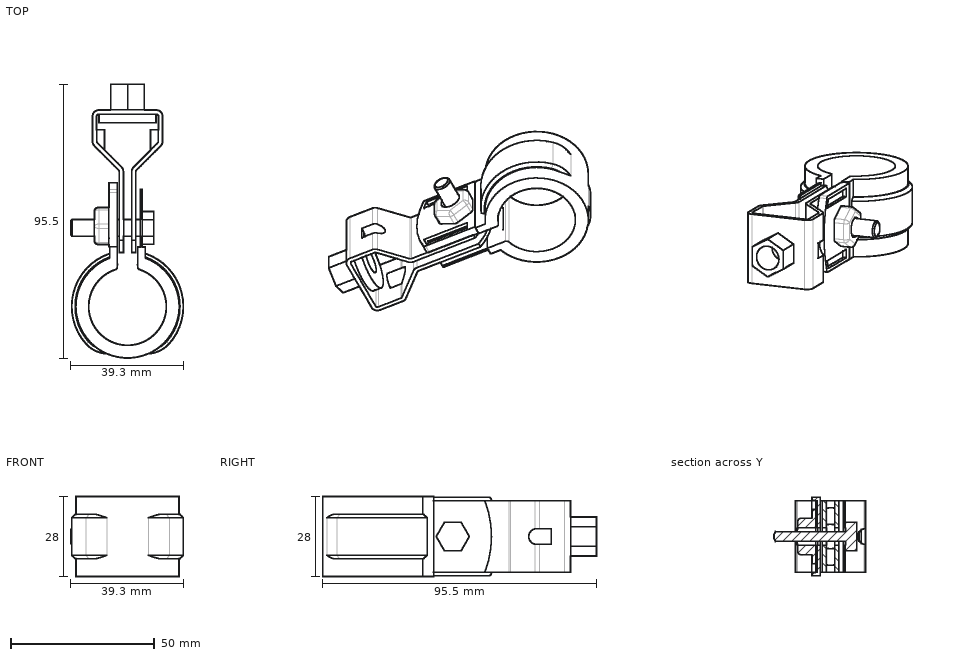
import cadquery as cq
import math


RING_HEIGHT = 28.0
BORE_RADIUS = 13.5
RING_RADIUS = 18.0
EAR_INNER_X = 3.5
EAR_OUTER_X = 6.2
EAR_END_Y = 20.75
BORE_EDGE_RADIUS = 1.0

BAND_RADIUS = 19.5
BAND_HALF_HEIGHT = 6.5
BAND_CHAMFER = 1.2
BAND_ARC_END_X = 14.5
BAND_TAIL_RADIUS = 10.5
BAND_TAIL_ANGLE = 50.0
BAND_ROOT_RADIUS = 15.0
BAND_START_X = 4.5

PLATE_THICKNESS = 3.0
PLATE_OUTER_X = EAR_INNER_X + PLATE_THICKNESS
PLATE_HALF_WIDTH = 13.75
PLATE_END_Y = 43.2
PLATE_END_RADIUS = 37.0
PLATE_CORNER_RADIUS = 1.0
SLOT_START_Y = 23.8
SLOT_INNER_Z = 9.5
SLOT_OUTER_Z = 12.5
SLOT_END_WALL = 1.45

CAP_ACROSS_FLATS = 13.0
CAP_HEIGHT = 5.1
CAP_EDGE_RADIUS = 1.5
CAP_Y = 28.05
HOLE_Y = 27.85
CLEARANCE_DIAMETER = 7.0

STRAP_THICKNESS = 0.75
STRAP_OUTER_X = 5.21
STRAP_INNER_X = STRAP_OUTER_X - STRAP_THICKNESS
STRAP_HALF_WIDTH = 12.5
STRAP_END_WALL = 2.3
STRAP_MID_RADIUS = (BORE_RADIUS + RING_RADIUS) / 2
STRAP_OUTER_RADIUS = STRAP_MID_RADIUS + STRAP_THICKNESS / 2
STRAP_INNER_RADIUS = STRAP_MID_RADIUS - STRAP_THICKNESS / 2

BOLT_DIAMETER = 6.0
BOLT_TIP_DIAMETER = 4.92
BOLT_LENGTH = 25.0
BOLT_Y = 27.4
HEAD_HEIGHT = 4.0
HEAD_ACROSS_FLATS = 10.0

SHEET = 1.5
BRACKET_HALF_WIDTH = 12.5
BRACKET_TOP_Y = 68.5
BRACKET_WIDE_X = 12.25
BRACKET_NARROW_X = 2.9
BRACKET_LOW_BEND_Y = 47.3
BRACKET_HIGH_BEND_Y = BRACKET_LOW_BEND_Y + BRACKET_WIDE_X - BRACKET_NARROW_X
BRACKET_END_Y = 18.7
BRACKET_END_RADIUS = 20.0
BEND_INNER_RADIUS = 0.75
BEND_OUTER_RADIUS = BEND_INNER_RADIUS + SHEET
TROUGH_OUTER_RADIUS = 4.25
TROUGH_INNER_RADIUS = TROUGH_OUTER_RADIUS - SHEET
TROUGH_TOP_Y = 61.65

FLANGE_DIAMETER = 20.0
FLANGE_THICKNESS = 3.0
NECK_DIAMETER = 10.5
NUT_ACROSS_FLATS = 11.8
NUT_HEIGHT = 9.03
NUT_BORE_DIAMETER = 8.5

CORNERS_PER_FLATS = 1 / math.cos(math.pi / 6)


def box(x0, x1, y0, y1, half_z):
    return (
        cq.Workplane("XY", origin=(0, 0, -half_z))
        .moveTo(x0, y0)
        .lineTo(x1, y0)
        .lineTo(x1, y1)
        .lineTo(x0, y1)
        .close()
        .extrude(2 * half_z)
    )


def disc(radius, half_z):
    return cq.Workplane("XY").circle(radius).extrude(half_z, both=True)


def x_rod(diameter, x0, x1, y):
    return cq.Workplane("YZ", origin=(x0, y, 0)).circle(diameter / 2).extrude(x1 - x0)


def y_rod(diameter, y0, y1, x=0):
    return cq.Workplane("XZ", origin=(x, y1, 0)).circle(diameter / 2).extrude(y1 - y0)


def x_hexagon(across_flats, x0, length, y):
    """Hexagonal prism along X with two corners on the Z axis."""
    return (
        cq.Workplane("YZ", origin=(x0, y, 0))
        .transformed(rotate=(0, 0, 90))
        .polygon(6, across_flats * CORNERS_PER_FLATS)
        .extrude(length)
    )


def rounded_end_tab(x0, x1, y0, half_z, end_wall):
    """Flat tab whose end is an arc set back by end_wall from the plate's arc."""
    radius = PLATE_END_RADIUS - end_wall
    end_zone = x_rod(2 * radius, x0, x1, PLATE_END_Y - PLATE_END_RADIUS)
    return box(x0, x1, y0, PLATE_END_Y, half_z).intersect(end_zone)


def make_strap():
    loop = disc(STRAP_OUTER_RADIUS, STRAP_HALF_WIDTH)
    loop = loop.cut(disc(STRAP_INNER_RADIUS, STRAP_HALF_WIDTH))
    loop = loop.cut(box(-STRAP_INNER_X, STRAP_INNER_X, 0, RING_RADIUS, STRAP_HALF_WIDTH))
    leg_start_y = math.sqrt(STRAP_MID_RADIUS**2 - STRAP_OUTER_X**2)
    leg = rounded_end_tab(STRAP_INNER_X, STRAP_OUTER_X, leg_start_y, STRAP_HALF_WIDTH, STRAP_END_WALL)
    strap = loop.union(leg).union(leg.mirror("YZ"))
    return strap.cut(x_rod(CLEARANCE_DIAMETER, -STRAP_OUTER_X, STRAP_OUTER_X, HOLE_Y))


def band_layer(z, height, taper):
    """Left band outline: an arc round the ring, then a tighter arc diving into it."""
    start_angle = math.acos(-BAND_START_X / BAND_RADIUS)
    end_angle = math.pi + math.acos(BAND_ARC_END_X / BAND_RADIUS)
    tail_offset = BAND_RADIUS - BAND_TAIL_RADIUS
    tail_sweep = math.radians(BAND_TAIL_ANGLE)

    def ring_point(radius, angle):
        return (radius * math.cos(angle), radius * math.sin(angle))

    tail_center = ring_point(tail_offset, end_angle)

    def tail_point(sweep):
        dx, dy = ring_point(BAND_TAIL_RADIUS, end_angle + sweep)
        return (tail_center[0] + dx, tail_center[1] + dy)

    tail_tip = tail_point(tail_sweep)
    root_end_angle = math.atan2(tail_tip[1], tail_tip[0]) + 2 * math.pi
    mid_angle = (start_angle + end_angle) / 2
    return (
        cq.Workplane("XY", origin=(0, 0, z))
        .moveTo(*ring_point(BAND_RADIUS, start_angle))
        .threePointArc(ring_point(BAND_RADIUS, mid_angle), ring_point(BAND_RADIUS, end_angle))
        .threePointArc(tail_point(tail_sweep / 2), tail_tip)
        .lineTo(*ring_point(BAND_ROOT_RADIUS, root_end_angle))
        .threePointArc(
            ring_point(BAND_ROOT_RADIUS, mid_angle),
            ring_point(BAND_ROOT_RADIUS, start_angle),
        )
        .close()
        .extrude(height, taper=taper)
    )


def make_band():
    middle = band_layer(-BAND_HALF_HEIGHT, 2 * BAND_HALF_HEIGHT, 0)
    top = band_layer(BAND_HALF_HEIGHT, BAND_CHAMFER, 45)
    return middle.union(top).union(top.mirror("XY"))


def make_cushion(strap):
    half_height = RING_HEIGHT / 2
    ears = box(-EAR_OUTER_X, EAR_OUTER_X, 0, EAR_END_Y, half_height)
    ring = disc(RING_RADIUS, half_height).union(ears).cut(disc(BORE_RADIUS, half_height))
    ring = ring.cut(box(-EAR_INNER_X, EAR_INNER_X, 0, EAR_END_Y, half_height))
    gap_edge_y = math.sqrt(BORE_RADIUS**2 - EAR_INNER_X**2)
    for x in (-EAR_INNER_X, EAR_INNER_X):
        edge = cq.selectors.NearestToPointSelector((x, gap_edge_y, 0))
        ring = ring.edges("|Z").edges(edge).fillet(BORE_EDGE_RADIUS)
    band = make_band()
    return ring.union(band).union(band.mirror("YZ")).cut(strap)


def make_nut_holder(strap):
    """Slotted plate with a hexagonal cap, slipped over the left end of the strap."""
    plate = rounded_end_tab(-PLATE_OUTER_X, -EAR_INNER_X, EAR_END_Y, PLATE_HALF_WIDTH, 0)
    plate = plate.edges("|X and (not <Y)").fillet(PLATE_CORNER_RADIUS)
    slots = rounded_end_tab(-PLATE_OUTER_X, -STRAP_INNER_X, SLOT_START_Y, SLOT_OUTER_Z, SLOT_END_WALL)
    slots = slots.cut(box(-PLATE_OUTER_X, -STRAP_INNER_X, SLOT_START_Y, PLATE_END_Y, SLOT_INNER_Z))
    plate = plate.cut(slots)
    cap = x_hexagon(CAP_ACROSS_FLATS, -PLATE_OUTER_X - CAP_HEIGHT, CAP_HEIGHT, CAP_Y)
    cap = cap.edges("|X").fillet(CAP_EDGE_RADIUS).faces("<X").edges().fillet(CAP_EDGE_RADIUS)
    hole = x_rod(CLEARANCE_DIAMETER, -PLATE_OUTER_X - CAP_HEIGHT, -EAR_INNER_X, HOLE_Y)
    return plate.union(cap).cut(hole).cut(strap)


def funnel(wide_x, narrow_x, top_y, bend_shift, wide_radius, narrow_radius):
    """Solid bounded by one face of the bent sheet, from the top to below the bracket ends."""
    high_y = BRACKET_HIGH_BEND_Y + bend_shift
    low_y = BRACKET_LOW_BEND_Y + bend_shift
    right = [(wide_x, top_y), (wide_x, high_y), (narrow_x, low_y), (narrow_x, BRACKET_END_Y)]
    left = [(-x, y) for x, y in reversed(right)]
    solid = (
        cq.Workplane("XY", origin=(0, 0, -BRACKET_HALF_WIDTH))
        .polyline(right + left)
        .close()
        .extrude(2 * BRACKET_HALF_WIDTH)
    )
    for sign in (-1, 1):
        corners = [
            (wide_x, top_y, wide_radius),
            (wide_x, high_y, wide_radius),
            (narrow_x, low_y, narrow_radius),
        ]
        for x, y, radius in corners:
            edge = cq.selectors.NearestToPointSelector((sign * x, y, 0))
            solid = solid.edges("|Z").edges(edge).fillet(radius)
    return solid


def trough_rod(side, radius):
    """Rod along Y, centred on the outer face of one side wall."""
    return y_rod(2 * radius, BRACKET_LOW_BEND_Y, TROUGH_TOP_Y, side * BRACKET_WIDE_X)


def make_bracket():
    outside = funnel(
        BRACKET_WIDE_X, BRACKET_NARROW_X, BRACKET_TOP_Y, 0, BEND_OUTER_RADIUS, BEND_INNER_RADIUS
    )
    bend_shift = SHEET * math.tan(math.pi / 8)
    inside = funnel(
        BRACKET_WIDE_X - SHEET,
        BRACKET_NARROW_X - SHEET,
        BRACKET_TOP_Y - SHEET,
        bend_shift,
        BEND_INNER_RADIUS,
        BEND_OUTER_RADIUS,
    )
    bracket = outside.cut(inside)
    for side in (-1, 1):
        bracket = bracket.union(trough_rod(side, TROUGH_OUTER_RADIUS).intersect(outside))
        bracket = bracket.cut(trough_rod(side, TROUGH_INNER_RADIUS))

    end_center_y = BRACKET_END_Y + BRACKET_END_RADIUS
    end_zone = x_rod(2 * BRACKET_END_RADIUS, -BRACKET_WIDE_X, BRACKET_WIDE_X, end_center_y)
    upper_zone = box(-BRACKET_WIDE_X, BRACKET_WIDE_X, end_center_y, BRACKET_TOP_Y, BRACKET_HALF_WIDTH)
    bracket = bracket.intersect(end_zone.union(upper_zone))

    bracket = bracket.cut(x_rod(CLEARANCE_DIAMETER, -BRACKET_NARROW_X, BRACKET_NARROW_X, HOLE_Y))
    return bracket.cut(y_rod(NECK_DIAMETER, BRACKET_TOP_Y - SHEET, BRACKET_TOP_Y))


def make_bolt():
    tip_chamfer = (BOLT_DIAMETER - BOLT_TIP_DIAMETER) / 2
    shank = x_rod(BOLT_DIAMETER, STRAP_OUTER_X - BOLT_LENGTH, STRAP_OUTER_X, BOLT_Y)
    shank = shank.faces("<X").chamfer(tip_chamfer)
    head = (
        cq.Workplane("YZ", origin=(STRAP_OUTER_X, BOLT_Y, 0))
        .polygon(6, HEAD_ACROSS_FLATS * CORNERS_PER_FLATS)
        .extrude(HEAD_HEIGHT)
    )
    return shank.union(head)


def make_hanger_nut():
    flange_face_y = BRACKET_TOP_Y - SHEET
    flange_bottom_y = flange_face_y - FLANGE_THICKNESS
    flange = y_rod(FLANGE_DIAMETER, flange_bottom_y, flange_face_y)
    neck = y_rod(NECK_DIAMETER, flange_face_y, BRACKET_TOP_Y)
    hexagon = (
        cq.Workplane("XZ", origin=(0, BRACKET_TOP_Y, 0))
        .transformed(rotate=(0, 0, 90))
        .polygon(6, NUT_ACROSS_FLATS * CORNERS_PER_FLATS)
        .extrude(-NUT_HEIGHT)
    )
    bore = y_rod(NUT_BORE_DIAMETER, flange_bottom_y, BRACKET_TOP_Y + NUT_HEIGHT)
    return hexagon.union(neck).union(flange).cut(bore)


strap = make_strap()
cushion = make_cushion(strap)
nut_holder = make_nut_holder(strap)
bracket = make_bracket()
bolt = make_bolt()
hanger_nut = make_hanger_nut()

bodies = [cushion, strap, nut_holder, bracket, bolt, hanger_nut]
result = cq.Compound.makeCompound([body.solids().val() for body in bodies])